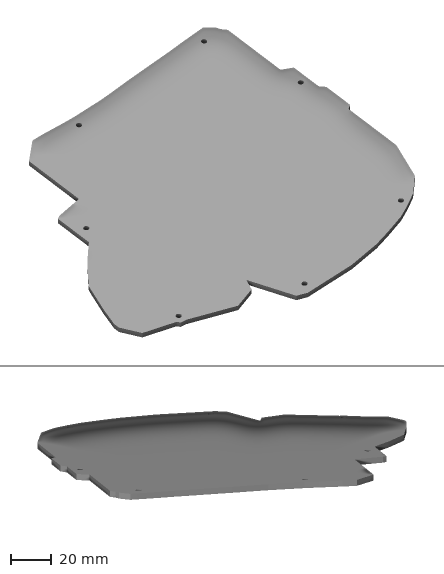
import cadquery as cq

length_x = 173.31
length_y = 190.28
thickness = 3.0
screw_hole_diameter = 3.0

right_x = length_x / 2
left_x = -right_x
top_y = length_y / 2
bottom_y = -top_y

upper_left_y = 86.7
upper_middle_y = 92.6
lower_left_y = -48.1
lower_middle_y = -65.2


left_side = [
    (-84.2, -37.0),
    (-84.0, -29.8),
    (-83.1, -18.0),
    (-82.7, -10.8),
    (-82.7, 7.5),
    (-83.1, 14.7),
    (-83.9, 26.5),
    (-84.2, 33.0),
    (-84.6, 40.9),
    (-85.3, 55.9),
    (-85.8, 62.5),
    (-86.5, 75.5),
    (left_x, 78.8),
]

upper_side = [
    (-82.4, 83.4),
    (-79.8, 84.6),
    (-77.2, upper_left_y),
    (-38.9, upper_left_y),
    (-35.6, upper_middle_y),
    (-17.7, upper_middle_y),
    (-14.7, top_y),
    (2.6, top_y),
    (4.1, upper_middle_y),
    (38.9, upper_middle_y),
]

right_side = [
    (61.1, 84.7),
    (69.7, 75.5),
    (74.1, 67.7),
    (77.7, 60.2),
    (81.4, 48.1),
    (84.0, 38.3),
    (right_x, 19.3),
    (right_x, -10.1),
    (84.4, -15.7),
]

notch_tip = (59.6, -26.2)

thumb_side = [
    (66.2, -28.8),
    (70.3, -41.5),
    (60.5, -66.9),
    (60.1, -70.3),
    (58.3, -71.6),
    (52.8, -89.3),
    (42.2, bottom_y),
    (38.6, bottom_y),
    (27.5, -92.0),
    (11.8, -86.7),
    (10.1, -86.0),
    (-2.9, -74.9),
    (-12.4, lower_middle_y),
]

lower_side = [
    (-35.0, lower_middle_y),
    (-36.0, -63.1),
    (-38.3, lower_left_y),
    (-74.6, lower_left_y),
]

screw_holes = [
    (-79.1, 72.6),
    (-25.6, 88.0),
    (69.3, 67.8),
    (80.8, -6.9),
    (55.9, -67.9),
    (-20.6, -59.4),
    (-76.8, -12.8),
]


def make_plate():
    """Plate of constant thickness with the full outline."""
    outline = left_side + upper_side + right_side + [notch_tip] + thumb_side + lower_side
    return cq.Workplane("XY").polyline(outline).close().extrude(thickness)


def drill_screw_holes(plate):
    """Plain through holes from the upper face."""
    return plate.faces(">Z").workplane(origin=(0, 0, thickness)).pushPoints(screw_holes).hole(screw_hole_diameter)


result = drill_screw_holes(make_plate())